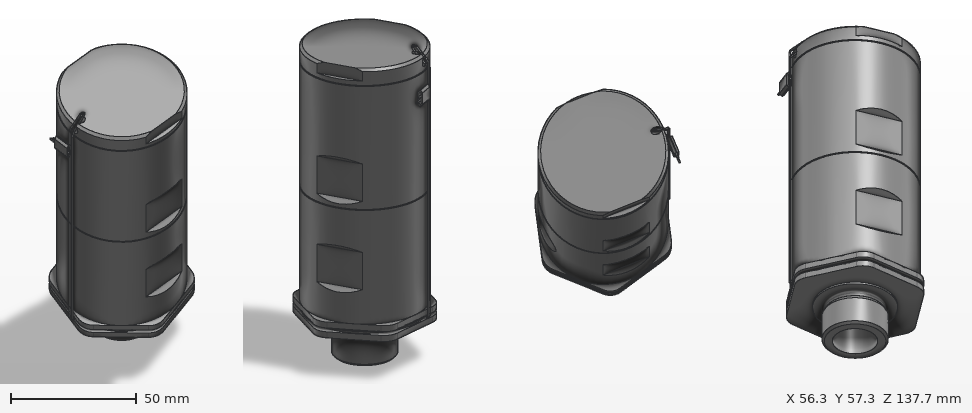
import cadquery as cq
import math

THREAD_CHAMFER = 1.0
THREAD_TOP = 12.0
RELIEF_BOTTOM = 13.6
RELIEF_TOP = 14.9
SEAL_FACE_Z = 16.1
LOWER_HEX_BOTTOM = 17.0
LOWER_HEX_TOP = 19.5
WASHER_TOP = 20.2
UPPER_HEX_BOTTOM = 21.2
UPPER_HEX_TOP = 23.8
LOWER_FLAT_Z = 46.8
MIDDLE_JOINT_Z = 73.3
UPPER_FLAT_Z = 85.1
CAP_JOINT_Z = 127.0
CAP_FLAT_BOTTOM = 129.2
BODY_TOP = 134.3

BODY_DIAMETER = 52.0
BODY_RADIUS = BODY_DIAMETER / 2
TOP_CHAMFER = 1.1
THREAD_DIAMETER = 26.5
RELIEF_DIAMETER = 24.5
SEAL_FACE_DIAMETER = 34.0
WASHER_DIAMETER = 50.7
NECK_DIAMETER = 49.0
HEX_ACROSS_FLATS = 51.9
HEX_CORNER_RADIUS = 7.0
HEX_TURN = 15.0
JOINT_GROOVE_WIDTH = 0.4
JOINT_GROOVE_DEPTH = 0.1

FLAT_SPACING = 48.0
FLAT_HEIGHT = 16.1

INLET_DIAMETER = 18.0
CHAMBER_DIAMETER = 24.0
CHAMBER_BOTTOM = UPPER_HEX_TOP
CHAMBER_TOP = 125.7
OUTLET_DIAMETER = 19.0

WIRE_HOLE_DIAMETER = 3.0
WIRE_HOLE_Z = 131.1

WIRE_DIAMETER = 0.7
WIRE_RADIUS = WIRE_DIAMETER / 2
STRAND_X = 0.62
STRAND_Y = -28.1
WIRE_TOP = 137.7
STRAND_TOP = 131.2
STRAND_BOTTOM = 21.3
NECK_WIRE_GAP = 0.3
TAG_LENGTH = 7.0
TAG_HEIGHT = 7.2
TAG_THICKNESS = 2.2
TAG_CHAMFER = 1.0
TAG_RIGHT_X = -1.4
TAG_Z = 118.7
TAG_SLOT_WIDTH = 0.8
TAG_SLOT_HEIGHT = 5.0
TAG_SLOT_CORNER = 0.35
UPPER_END_X = -10.2
UPPER_END_Z = 119.5
LOWER_END_X = -11.8
LOWER_END_Z = 118.0


def disc(diameter, bottom, top):
    """Upright cylinder on the valve axis."""
    return cq.Workplane("XY").workplane(offset=bottom).circle(diameter / 2).extrude(top - bottom)


def hex_flange(bottom, top):
    """Hexagonal flange with rounded corners, turned about the valve axis."""
    corner_distance = HEX_ACROSS_FLATS / math.cos(math.radians(30))
    return (
        cq.Workplane("XY")
        .workplane(offset=bottom)
        .polygon(6, corner_distance)
        .extrude(top - bottom)
        .edges("|Z")
        .fillet(HEX_CORNER_RADIUS)
        .rotate((0, 0, 0), (0, 0, 1), -HEX_TURN)
    )


def inlet_stub():
    """Threaded inlet with a relief groove under the sealing face."""
    thread_radius = THREAD_DIAMETER / 2
    relief_radius = RELIEF_DIAMETER / 2
    flare = SEAL_FACE_Z - RELIEF_TOP
    outline = (
        cq.Workplane("XZ")
        .moveTo(0, 0)
        .lineTo(thread_radius - THREAD_CHAMFER, 0)
        .lineTo(thread_radius, THREAD_CHAMFER)
        .lineTo(thread_radius, THREAD_TOP)
        .lineTo(relief_radius, RELIEF_BOTTOM)
        .lineTo(relief_radius, RELIEF_TOP)
        .radiusArc((relief_radius + flare, SEAL_FACE_Z), flare)
        .lineTo(SEAL_FACE_DIAMETER / 2, SEAL_FACE_Z)
        .lineTo(SEAL_FACE_DIAMETER / 2, LOWER_HEX_BOTTOM)
        .lineTo(0, LOWER_HEX_BOTTOM)
        .close()
    )
    return outline.revolve(360, (0, 0), (0, 1))


def joint_groove(height):
    """Fine ring groove round the outside of the housing."""
    bottom = height - JOINT_GROOVE_WIDTH / 2
    top = height + JOINT_GROOVE_WIDTH / 2
    core_diameter = BODY_DIAMETER - 2 * JOINT_GROOVE_DEPTH
    return disc(BODY_DIAMETER, bottom, top).cut(disc(core_diameter, bottom, top))


def wrench_flat(side, middle):
    """Flat on one side (+1 or -1 along X) whose ends slope outwards at 45 degrees."""
    inner_x = FLAT_SPACING / 2
    outer_x = BODY_DIAMETER
    inner_half = FLAT_HEIGHT / 2
    outer_half = inner_half + outer_x - inner_x
    corners = [
        (side * inner_x, middle - inner_half),
        (side * outer_x, middle - outer_half),
        (side * outer_x, middle + outer_half),
        (side * inner_x, middle + inner_half),
    ]
    return cq.Workplane("XZ").polyline(corners).close().extrude(BODY_RADIUS, both=True)


def cap_flat(side):
    """Flat at the top of the housing, open upwards, with a square lower ledge."""
    height = BODY_TOP - CAP_FLAT_BOTTOM
    return cq.Workplane("XY").box(BODY_DIAMETER, BODY_DIAMETER, height).translate(
        (side * (FLAT_SPACING + BODY_DIAMETER) / 2, 0, CAP_FLAT_BOTTOM + height / 2)
    )


def wire_hole():
    """Hole at 45 degrees from the -Y side of the cap to its top face."""
    plane = cq.Plane(
        origin=(0, -BODY_RADIUS, WIRE_HOLE_Z),
        xDir=(1, 0, 0),
        normal=(0, 1, 1),
    )
    return cq.Workplane(plane).circle(WIRE_HOLE_DIAMETER / 2).extrude(BODY_RADIUS / 2, both=True)


def make_housing():
    """Valve housing with its flanges, inlet, wrench flats and passages."""
    barrel = disc(BODY_DIAMETER, UPPER_HEX_TOP, BODY_TOP).faces(">Z").chamfer(TOP_CHAMFER)
    housing = (
        inlet_stub()
        .union(hex_flange(LOWER_HEX_BOTTOM, LOWER_HEX_TOP))
        .union(disc(WASHER_DIAMETER, LOWER_HEX_TOP, WASHER_TOP))
        .union(disc(NECK_DIAMETER, WASHER_TOP, UPPER_HEX_BOTTOM))
        .union(hex_flange(UPPER_HEX_BOTTOM, UPPER_HEX_TOP))
        .union(barrel)
    )
    for height in (MIDDLE_JOINT_Z, CAP_JOINT_Z):
        housing = housing.cut(joint_groove(height))
    for side in (-1, 1):
        housing = housing.cut(cap_flat(side))
        for middle in (LOWER_FLAT_Z, UPPER_FLAT_Z):
            housing = housing.cut(wrench_flat(side, middle))

    outlet = (
        cq.Workplane("XZ", origin=(0, 0, LOWER_FLAT_Z))
        .circle(OUTLET_DIAMETER / 2)
        .extrude(-BODY_DIAMETER)
    )
    return (
        housing.cut(disc(INLET_DIAMETER, 0, CHAMBER_BOTTOM))
        .cut(disc(CHAMBER_DIAMETER, CHAMBER_BOTTOM, CHAMBER_TOP))
        .cut(outlet)
        .cut(wire_hole())
    )


def make_wire():
    """One wire: out of the tag, through the cap, down, round the neck and back into the tag."""
    loop_z = WIRE_TOP - WIRE_RADIUS
    neck_wire_z = (WASHER_TOP + UPPER_HEX_BOTTOM) / 2
    neck_wire_y = -(NECK_DIAMETER / 2 + NECK_WIRE_GAP + WIRE_RADIUS)
    bend_y = STRAND_Y + STRAND_BOTTOM - neck_wire_z
    from_tag_to_cap = [
        (UPPER_END_X, STRAND_Y, UPPER_END_Z),
        (-STRAND_X, STRAND_Y, UPPER_END_Z),
        (-STRAND_X, STRAND_Y, STRAND_TOP),
        (-STRAND_X, STRAND_Y + 0.4, STRAND_TOP + 1.1),
    ]
    through_cap = [
        (-0.3, -22.6, loop_z),
        (-0.1, -21.3, loop_z),
        (0, -20.8, 136.6),
        (0, -21.5, 135.4),
        (0, -26.9, 130.0),
        (STRAND_X, STRAND_Y, 128.5),
    ]
    around_neck = [
        (STRAND_X, STRAND_Y, STRAND_BOTTOM),
        (STRAND_X, bend_y, neck_wire_z),
        (STRAND_X, neck_wire_y, neck_wire_z),
        (-STRAND_X, neck_wire_y, neck_wire_z),
        (-STRAND_X, bend_y, neck_wire_z),
        (-STRAND_X, STRAND_Y, STRAND_BOTTOM),
    ]
    back_to_tag = [
        (-STRAND_X, STRAND_Y, LOWER_END_Z),
        (LOWER_END_X, STRAND_Y, LOWER_END_Z),
    ]
    path = from_tag_to_cap + through_cap + around_neck + back_to_tag
    spine = cq.Workplane("XY").polyline(path)
    return (
        cq.Workplane("YZ", origin=path[0])
        .circle(WIRE_RADIUS)
        .sweep(spine, transition="round")
    )


def make_tag():
    """Flat seal tag with chamfered long edges and a slot for the two wire ends."""
    slot = cq.Workplane("XY").box(TAG_LENGTH, TAG_SLOT_WIDTH, TAG_SLOT_HEIGHT)
    slot = slot.edges("|X").fillet(TAG_SLOT_CORNER)
    return (
        cq.Workplane("XY")
        .box(TAG_LENGTH, TAG_THICKNESS, TAG_HEIGHT)
        .edges("|X")
        .chamfer(TAG_CHAMFER)
        .cut(slot)
        .translate((TAG_RIGHT_X - TAG_LENGTH / 2, STRAND_Y, TAG_Z))
    )


housing = make_housing()
wire = make_wire()
tag = make_tag()
result = cq.Compound.makeCompound([housing.solids().val(), wire.val(), tag.solids().val()])